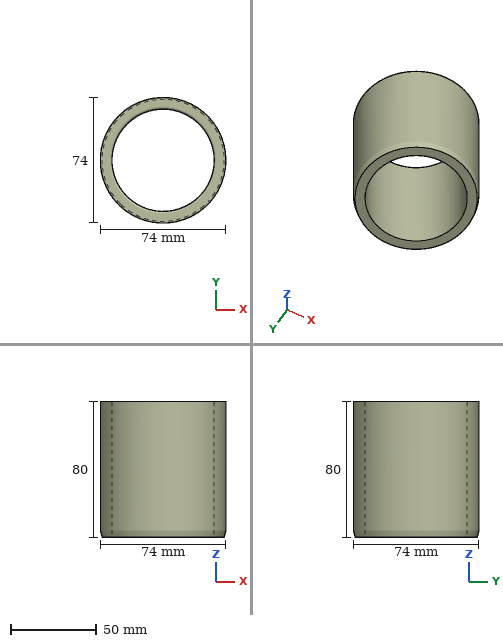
import cadquery as cq
import math

length = 80.0
outer_diameter = 74.0
bore_diameter = 60.0

taper_height = 4.0
taper_angle = 15.0
taper_depth = taper_height * math.tan(math.radians(taper_angle))

mouth_radius = 1.5

outer_radius = outer_diameter / 2
bore_radius = bore_diameter / 2
mouth_center_radius = bore_radius + mouth_radius
mouth_center_height = length - mouth_radius
arc_reach = mouth_radius * math.sqrt(0.5)

wall_section = (
    cq.Workplane("XZ")
    .moveTo(bore_radius, 0)
    .lineTo(outer_radius - taper_depth, 0)
    .lineTo(outer_radius, taper_height)
    .lineTo(outer_radius, length)
    .lineTo(mouth_center_radius, length)
    .threePointArc(
        (mouth_center_radius - arc_reach, mouth_center_height + arc_reach),
        (bore_radius, mouth_center_height),
    )
    .close()
)

result = wall_section.revolve(360, (0, 0, 0), (0, 1, 0))